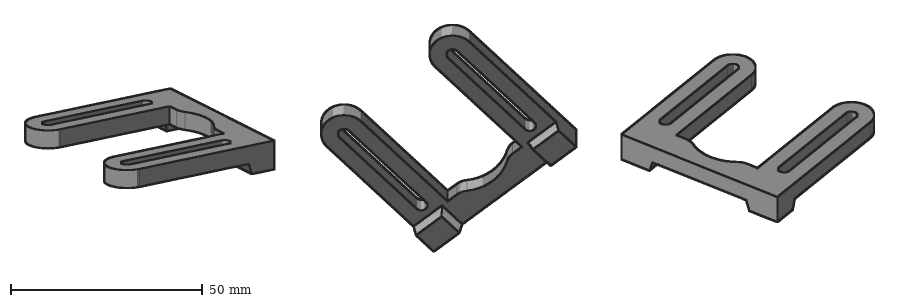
import cadquery as cq
import math

width = 50.0
length = 48.0
plate_thickness = 5.0
bar_depth = 8.0

arm_width = 12.0
arm_radius = arm_width / 2
arm_center_x = width / 2 - arm_radius
arm_end_center_y = -(length - arm_radius)
slot_width = 3.2
slot_start_y = -10.0
slot_end_y = arm_end_center_y - slot_width / 2

arch_top_y = -5.0
arch_radius = 12.5
shoulder_radius = 5.0

foot_height = 3.0
foot_width = 10.0
foot_depth = bar_depth
foot_slope_run = 1.0


def make_plate():
    """U-shaped plate with its rear edge on y = 0 and its underside on z = 0."""
    half = width / 2
    inner_x = half - arm_width

    arch_center_y = arch_top_y - arch_radius
    shoulder_center_y = -bar_depth + shoulder_radius
    center_distance = arch_radius + shoulder_radius
    center_rise = shoulder_center_y - arch_center_y
    shoulder_x = math.sqrt(center_distance**2 - center_rise**2)
    join_ratio = arch_radius / center_distance
    join_x = shoulder_x * join_ratio
    join_y = arch_center_y + center_rise * join_ratio

    outline = (
        cq.Workplane("XY")
        .moveTo(-half, 0)
        .lineTo(-half, arm_end_center_y)
        .threePointArc((-arm_center_x, -length), (-inner_x, arm_end_center_y))
        .lineTo(-inner_x, -bar_depth)
        .lineTo(-shoulder_x, -bar_depth)
        .radiusArc((-join_x, join_y), -shoulder_radius)
        .threePointArc((0, arch_top_y), (join_x, join_y))
        .radiusArc((shoulder_x, -bar_depth), -shoulder_radius)
        .lineTo(inner_x, -bar_depth)
        .lineTo(inner_x, arm_end_center_y)
        .threePointArc((arm_center_x, -length), (half, arm_end_center_y))
        .lineTo(half, 0)
        .close()
    )
    return outline.extrude(plate_thickness)


def make_slots():
    """Through slots along the center line of each arm."""
    return (
        cq.Workplane("XY")
        .pushPoints([(side * arm_center_x, (slot_start_y + slot_end_y) / 2) for side in (-1, 1)])
        .slot2D(slot_start_y - slot_end_y, slot_width, 90)
        .extrude(plate_thickness)
    )


def make_left_foot():
    """Foot flush with the left and rear sides of the plate."""
    side_profile = (
        cq.Workplane("XZ")
        .moveTo(-width / 2, 0)
        .lineTo(-width / 2 + foot_width, 0)
        .lineTo(-width / 2 + foot_width - foot_slope_run, -foot_height)
        .lineTo(-width / 2, -foot_height)
        .close()
        .extrude(foot_depth)
    )
    depth_profile = (
        cq.Workplane("YZ")
        .moveTo(0, 0)
        .lineTo(-foot_depth, 0)
        .lineTo(-foot_depth + foot_slope_run, -foot_height)
        .lineTo(0, -foot_height)
        .close()
        .extrude(-width / 2)
    )
    return side_profile.intersect(depth_profile)


left_foot = make_left_foot()
right_foot = left_foot.mirror("YZ")
result = make_plate().union(left_foot).union(right_foot).cut(make_slots())